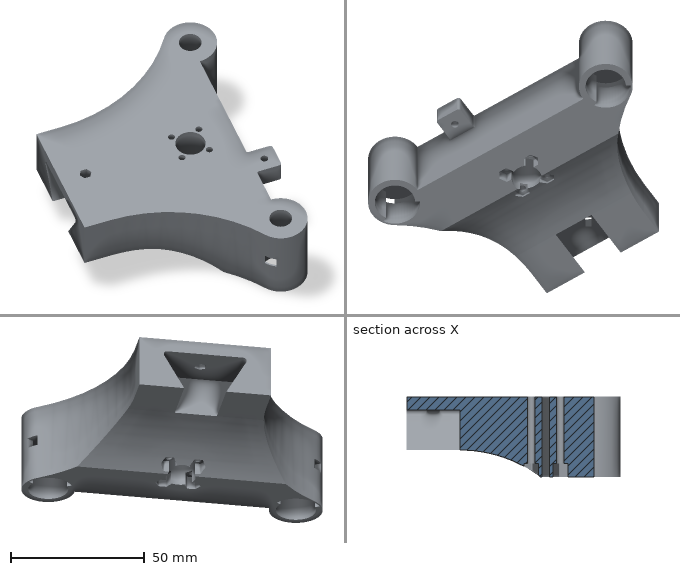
import cadquery as cq
import math

HEX_SIDES = 6

overall_width = 114.0
overall_depth = 80.0
height = 30.0

ear_radius = 10.0
ear_hole_diameter = 8.4
ear_x = overall_width / 2 - ear_radius
ear_y = overall_depth - ear_radius
back_y = ear_y

neck_half_width = 25.0
neck_length = 10.0

neck_underside_z = 10.0
scoop_start_y = 20.0
scoop_radius = 50.0

dovetail_length = scoop_start_y
dovetail_mouth_half_width = 8.0
dovetail_roof_z = 25.0
dovetail_flank_angle = 60.0
dovetail_corner_radius = 1.3

bore_y = 52.0
bore_diameter = 11.3
screw_hole_diameter = 2.6
screw_spacing = 10.9
nut_across_flats = 5.2
nut_pocket_depth = 5.0

hex_hole_y = 10.0
hex_hole_across_flats = 4.0
hex_hole_turn = 90.0

tab_x = 17.0
tab_width = 10.4
tab_thickness = 8.0
tab_corner_radius = 1.0
tab_root_radius = 0.7
tab_hole_diameter = 2.8

socket_diameter = 15.0
lock_sector_z = 14.0
lock_sector_height = 4.0
lock_sector_radius = ear_radius
entry_sector_radius = 9.3
sector_start = 210.0
sector_end = 330.0


def polar(radius, degrees):
    angle = math.radians(degrees)
    return radius * math.cos(angle), radius * math.sin(angle)


def hex_circumdiameter(across_flats):
    return across_flats / math.cos(math.pi / HEX_SIDES)


def make_body():
    """Plate whose concave flanks run tangent from the neck into the ears."""
    across = ear_x - neck_half_width
    rise = ear_y - neck_length
    flank_radius = (across**2 + rise**2 - ear_radius**2) / (2 * (across + ear_radius))
    flank_center_x = neck_half_width + flank_radius
    ear_angle = math.atan2(-rise, flank_center_x - ear_x)
    joint_x = ear_x + ear_radius * math.cos(ear_angle)
    joint_y = ear_y + ear_radius * math.sin(ear_angle)
    middle_angle = math.pi + ear_angle / 2
    flank_x = flank_center_x + flank_radius * math.cos(middle_angle)
    flank_y = neck_length + flank_radius * math.sin(middle_angle)
    ear_top = (ear_x, ear_y + ear_radius)
    left_ear_top = (-ear_x, ear_y + ear_radius)
    return (
        cq.Workplane("XY")
        .moveTo(-neck_half_width, 0)
        .lineTo(neck_half_width, 0)
        .lineTo(neck_half_width, neck_length)
        .threePointArc((flank_x, flank_y), (joint_x, joint_y))
        .threePointArc(ear_top, (ear_x - ear_radius, ear_y))
        .lineTo(ear_radius - ear_x, back_y)
        .threePointArc(left_ear_top, (-joint_x, joint_y))
        .threePointArc((-flank_x, flank_y), (-neck_half_width, neck_length))
        .close()
        .extrude(height)
    )


def add_tab(body):
    """Drilled lug on the back edge, flush with the top face."""
    tab_length = overall_depth - back_y
    tab = (
        cq.Workplane("XY", origin=(tab_x, back_y, height))
        .rect(tab_width, 2 * tab_length)
        .extrude(-tab_thickness)
        .edges("|Z and >Y")
        .fillet(tab_corner_radius)
    )
    hole = (
        cq.Workplane("XY", origin=(tab_x, back_y + tab_length / 2, height))
        .circle(tab_hole_diameter / 2)
        .extrude(-tab_thickness)
    )
    root_reach = tab_width / 2 + tab_root_radius
    roots = cq.selectors.BoxSelector(
        (tab_x - root_reach, back_y - tab_root_radius, 0),
        (tab_x + root_reach, back_y + tab_root_radius, height),
    )
    return body.union(tab).edges("|Z").edges(roots).fillet(tab_root_radius).cut(hole)


def scoop_cutter():
    """Space below the neck, ending in an arc that curves down to the underside."""
    arc_center_z = neck_underside_z - scoop_radius
    end_angle = math.asin(-arc_center_z / scoop_radius)
    middle_angle = (math.pi / 2 + end_angle) / 2
    middle_y = scoop_start_y + scoop_radius * math.cos(middle_angle)
    middle_z = arc_center_z + scoop_radius * math.sin(middle_angle)
    end_y = scoop_start_y + scoop_radius * math.cos(end_angle)
    return (
        cq.Workplane("YZ")
        .lineTo(0, neck_underside_z)
        .lineTo(scoop_start_y, neck_underside_z)
        .threePointArc((middle_y, middle_z), (end_y, 0))
        .close()
        .extrude(overall_width / 2, both=True)
    )


def dovetail_cutter():
    """Undercut slot entering from the front, with rounded roof corners."""
    slot_height = dovetail_roof_z - neck_underside_z
    undercut = slot_height / math.tan(math.radians(dovetail_flank_angle))
    roof_half_width = dovetail_mouth_half_width + undercut
    return (
        cq.Workplane("XZ")
        .moveTo(-dovetail_mouth_half_width, neck_underside_z)
        .lineTo(dovetail_mouth_half_width, neck_underside_z)
        .lineTo(roof_half_width, dovetail_roof_z)
        .lineTo(-roof_half_width, dovetail_roof_z)
        .close()
        .extrude(-dovetail_length)
        .edges("|Y and >Z")
        .fillet(dovetail_corner_radius)
    )


def cut_center_mount(body):
    """Bore with four screw holes and hexagonal nut pockets in the underside."""
    mount = cq.Workplane("XY", origin=(0, bore_y, 0))
    screws = mount.rect(screw_spacing, screw_spacing, forConstruction=True).vertices()
    bore = mount.circle(bore_diameter / 2).extrude(height)
    holes = screws.circle(screw_hole_diameter / 2).extrude(height)
    nuts = screws.polygon(HEX_SIDES, hex_circumdiameter(nut_across_flats)).extrude(nut_pocket_depth)
    return body.cut(bore).cut(holes).cut(nuts)


def hex_hole_cutter():
    """Hexagonal through hole with one corner pointing toward the front."""
    return (
        cq.Workplane("XY", origin=(0, hex_hole_y, 0))
        .transformed(rotate=(0, 0, hex_hole_turn))
        .polygon(HEX_SIDES, hex_circumdiameter(hex_hole_across_flats))
        .extrude(height)
    )


def sector_cutter(radius, depth):
    """Pie-shaped prism around the ear axis, facing the front."""
    middle = (sector_start + sector_end) / 2
    return (
        cq.Workplane("XY")
        .lineTo(*polar(radius, sector_start))
        .threePointArc(polar(radius, middle), polar(radius, sector_end))
        .close()
        .extrude(depth)
    )


def cut_ears(body):
    """Through hole, stepped socket from the underside and side-opening lock slot in each ear."""
    socket_depth = lock_sector_z + lock_sector_height
    hole = cq.Workplane("XY").circle(ear_hole_diameter / 2).extrude(height)
    socket = cq.Workplane("XY").circle(socket_diameter / 2).extrude(socket_depth)
    entry_sector = sector_cutter(entry_sector_radius, socket_depth)
    lock_sector = sector_cutter(lock_sector_radius, lock_sector_height).translate((0, 0, lock_sector_z))
    for side in (-1, 1):
        for cutter in (hole, socket, entry_sector, lock_sector):
            body = body.cut(cutter.translate((side * ear_x, ear_y, 0)))
    return body


result = add_tab(make_body())
result = result.cut(scoop_cutter()).cut(dovetail_cutter()).cut(hex_hole_cutter())
result = cut_center_mount(result)
result = cut_ears(result)